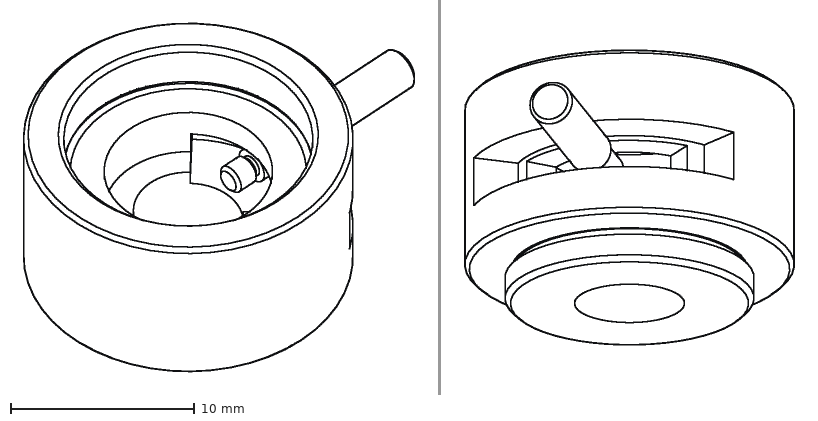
import cadquery as cq
import math

height = 11.5
housing_bottom = 2.0
shoulder_z = 8.75
ledge_z = 5.75
lever_z = 6.0

housing_radius = 9.0
housing_chamfer = 0.25
counterbore_radius = 6.8
counterbore_chamfer = 0.3
relief_groove_radius = 6.88
relief_groove_width = 0.2
housing_slot_height = 2.75
housing_slot_half_angle = 55.0

sleeve_radius = 6.45
neck_radius = 6.32
flange_radius = 6.8
flange_thickness = 1.5
flange_chamfer = 0.3
sleeve_bore_radius = 4.6
aperture_radius = 3.0
sleeve_slot_height = 2.2
sleeve_slot_half_angle = 45.0

lever_outer_end = 16.0
handle_inner_end = 8.0
collar_inner_end = 4.75
stub_outer_end = 4.32
lever_inner_end = 3.0
handle_radius = 1.2
collar_radius = 1.0
stub_radius = 0.812
relief_radius = 0.612
lever_chamfer = 0.2


def cylinder(radius, bottom, top):
    return cq.Workplane("XY").workplane(offset=bottom).circle(radius).extrude(top - bottom)


def sector(half_angle, slot_height):
    """Wedge about +Y, centred on the lever height and reaching past the housing."""
    reach = 2 * housing_radius
    side = reach * math.sin(math.radians(half_angle))
    forward = reach * math.cos(math.radians(half_angle))
    return (
        cq.Workplane("XY")
        .workplane(offset=lever_z - slot_height / 2)
        .moveTo(0, 0)
        .lineTo(side, forward)
        .threePointArc((0, reach), (-side, forward))
        .close()
        .extrude(slot_height)
    )


def make_housing():
    body = cylinder(housing_radius, housing_bottom, height)
    body = body.faces("<Z or >Z").chamfer(housing_chamfer)
    counterbore = cylinder(counterbore_radius, shoulder_z, height)
    relief_groove = cylinder(relief_groove_radius, shoulder_z, shoulder_z + relief_groove_width)
    rim_chamfer = (
        cq.Workplane("XY")
        .workplane(offset=height - counterbore_chamfer)
        .circle(counterbore_radius)
        .workplane(offset=counterbore_chamfer)
        .circle(counterbore_radius + counterbore_chamfer)
        .loft()
    )
    bore = cylinder(sleeve_radius, housing_bottom, shoulder_z)
    slot = sector(housing_slot_half_angle, housing_slot_height)
    return body.cut(counterbore).cut(relief_groove).cut(rim_chamfer).cut(bore).cut(slot)


def make_sleeve():
    flange = cylinder(flange_radius, 0, flange_thickness).faces("<Z").chamfer(flange_chamfer)
    neck = cylinder(neck_radius, flange_thickness, housing_bottom)
    barrel = cylinder(sleeve_radius, housing_bottom, shoulder_z)
    bore = cylinder(sleeve_bore_radius, ledge_z, shoulder_z)
    aperture = cylinder(aperture_radius, 0, shoulder_z)
    slot = sector(sleeve_slot_half_angle, sleeve_slot_height)
    return flange.union(neck).union(barrel).cut(bore).cut(aperture).cut(slot)


def make_lever():
    relief_start = stub_outer_end + stub_radius - relief_radius
    return (
        cq.Workplane("XY")
        .moveTo(0, lever_inner_end)
        .lineTo(stub_radius - lever_chamfer, lever_inner_end)
        .lineTo(stub_radius, lever_inner_end + lever_chamfer)
        .lineTo(stub_radius, stub_outer_end)
        .lineTo(relief_radius, relief_start)
        .lineTo(relief_radius, collar_inner_end)
        .lineTo(collar_radius, collar_inner_end)
        .lineTo(collar_radius, handle_inner_end)
        .lineTo(handle_radius, handle_inner_end)
        .lineTo(handle_radius, lever_outer_end - lever_chamfer)
        .lineTo(handle_radius - lever_chamfer, lever_outer_end)
        .lineTo(0, lever_outer_end)
        .close()
        .revolve(360, (0, 0, 0), (0, 1, 0))
        .translate((0, 0, lever_z))
    )


housing = make_housing()
sleeve = make_sleeve()
lever = make_lever()

result = cq.Compound.makeCompound([housing.val(), sleeve.val(), lever.val()])